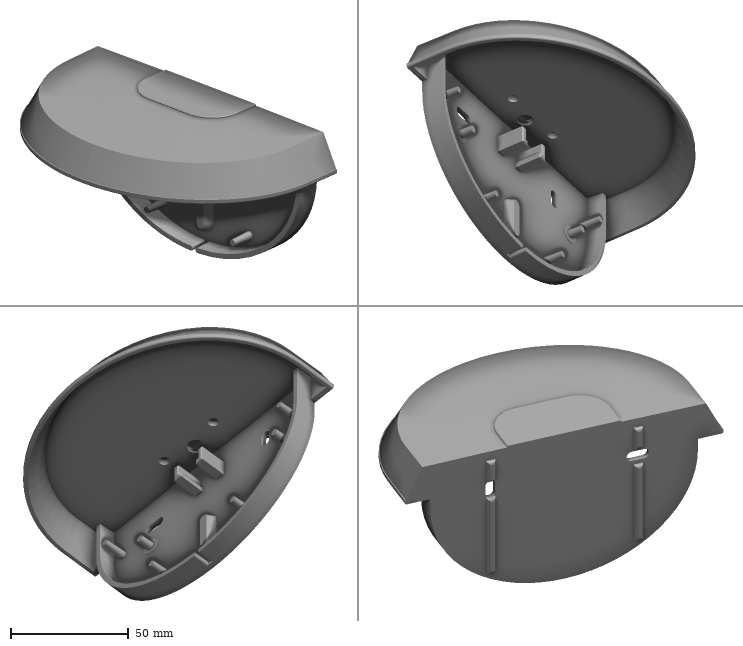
import cadquery as cq
import math


LIP_HALF_WIDTH = 73.4
LIP_DEPTH = 81.08
LIP_HEIGHT = 2.1
LIP_STEP = 0.5
LIP_RADIUS = 0.8
STRAIGHT_SIDE = 18.8
WALL_INSET = 7.5
HOOD_HEIGHT = 17.1
ROOF_DROP = 1.7
HOOD_THICKNESS = 2.0
FACET_HALF_ANGLE = 20.0
FRONT_ANGLE = 270
MIDDLE_SPLIT = [FRONT_ANGLE]
FACET_SPLITS = [FRONT_ANGLE - FACET_HALF_ANGLE, FRONT_ANGLE + FACET_HALF_ANGLE]

RING_Z = 17.4
RING_HALF_WIDTH = 29.6
RING_DEPTH = 29.4
RING_CORNER = 19.5
PLATEAU_Z = 18.15
PLATEAU_HALF_WIDTH = 26.3
PLATEAU_DEPTH = 26.4
PLATEAU_CORNER = 14.5
PLATEAU_CHAMFER = 0.3

HOLE_SKIN = 0.3
SIDE_HOLE_RADIUS = 2.3
SIDE_HOLE_X = 15.0
SIDE_HOLE_Y = -15.0
MIDDLE_HOLE_RADIUS = 3.7
MIDDLE_HOLE_Y = -11.0

PLATE_HALF_WIDTH = 61.65
PLATE_OVAL_Z = -5.5
PLATE_BOTTOM = -55.6
PLATE_TOP = HOOD_HEIGHT - HOOD_THICKNESS / 2
PLATE_DEPTH = 10.4
FLOOR = 2.5
RIM_THICKNESS = 2.3
RIM_DRAFT = 3.0
RIM_GAP = 2.0
RIM_END_RADIUS = 0.9

PIN_RADIUS = 1.9
PIN_DRAFT = 2.5
PIN_TIP = 13.2
UPPER_PIN = (53.4, -4.8)
LOWER_PIN = (24.9, -42.8)
POST_TIP = 9.0
POST_XS = (-36.4, 46.0)
POST_Z = -13.2
PAD_RADIUS = 4.2
PAD_HEIGHT = 0.3

RIDGE_LENGTH = 22.8
RIDGE_WIDTH = 7.8
RIDGE_Z = -36.5
RIDGE_HEIGHT = 4.0
RIDGE_TAPER_INSET = 1.9

HOOK_OUTER_X = 8.6
HOOK_STEM = 2.6
HOOK_FOOT = 4.0
HOOK_FOOT_HEIGHT = 2.4
HOOK_BOTTOM = -4.2
HOOK_TOP = 4.0
HOOK_TIP = 15.8
HOOK_CHAMFER = 0.6

SLOT_LINE_X = 34.0
SLOT_WIDTH = 4.6
LEVEL_SLOT_LENGTH = 10.4
LEVEL_SLOT_BOTTOM = -3.6
UPRIGHT_SLOT_BOTTOM = -6.2
UPRIGHT_SLOT_TOP = 2.4
BAR_WIDTH = 4.1
BAR_HEIGHT = 1.9
BAR_EDGE_RADIUS = 1.8
UPPER_BAR = (2.4, 13.0)
LOWER_BAR = (-44.0, -5.6)


def half_oval(plane, half_width, depth, splits, back=0.0):
    """Wire with a straight back, straight sides and an elliptical front, split at the given angles."""
    oval_depth = depth - STRAIGHT_SIDE
    centre = cq.Vector(0, -STRAIGHT_SIDE, 0)
    up = cq.Vector(0, 0, 1)
    right = cq.Vector(1, 0, 0)
    corners = [
        cq.Vector(half_width, -STRAIGHT_SIDE, 0),
        cq.Vector(half_width, -back, 0),
        cq.Vector(-half_width, -back, 0),
        cq.Vector(-half_width, -STRAIGHT_SIDE, 0),
    ]
    angles = [180, *splits, 360]
    edges = [
        cq.Edge.makeEllipse(half_width, oval_depth, centre, up, right, start, end)
        for start, end in zip(angles, angles[1:])
    ]
    edges += [cq.Edge.makeLine(start, end) for start, end in zip(corners, corners[1:])]
    return cq.Wire.assembleEdges(edges).moved(cq.Location(plane))


def level(z):
    """Horizontal plane at height z."""
    return cq.Plane(origin=(0, 0, z), xDir=(1, 0, 0), normal=(0, 0, 1))


def roof_plane(z):
    """Plane that falls towards the front by ROOF_DROP over the depth of the roof."""
    fall = ROOF_DROP / (LIP_DEPTH - WALL_INSET)
    return cq.Plane(origin=(0, 0, z), xDir=(1, 0, 0), normal=(0, -fall, 1))


def rounded_tab(half_width, depth, corner):
    """Outline against the back plane with its two front corners rounded."""
    mid = corner * (1 - math.sqrt(0.5))
    return (
        cq.Workplane("XY")
        .moveTo(-half_width, 0)
        .lineTo(-half_width, corner - depth)
        .threePointArc((mid - half_width, mid - depth), (corner - half_width, -depth))
        .lineTo(half_width - corner, -depth)
        .threePointArc((half_width - mid, mid - depth), (half_width, corner - depth))
        .lineTo(half_width, 0)
        .close()
    )


def from_back(y):
    """Workplane at y, facing the front, with local axes along X and Z."""
    return cq.Workplane("XZ", origin=(0, y, 0))


def make_lip():
    """Lip round the lower rim of the hood, rounded underneath."""
    outline = half_oval(level(0), LIP_HALF_WIDTH, LIP_DEPTH, MIDDLE_SPLIT)
    lip = cq.Workplane(cq.Solid.extrudeLinear(outline, [], cq.Vector(0, 0, LIP_HEIGHT)))
    return lip.faces("<Z").edges("not >Y").fillet(LIP_RADIUS)


def make_flared_body(bottom_z, roof_z, inset, back):
    """Solid between the flared wall and the roof plane, with the wall moved in by inset."""
    half_width = LIP_HALF_WIDTH - LIP_STEP - inset
    depth = LIP_DEPTH - LIP_STEP - inset
    bottom = half_oval(level(bottom_z), half_width, depth, MIDDLE_SPLIT, back)
    roof = half_oval(roof_plane(roof_z), half_width - WALL_INSET, depth - WALL_INSET, MIDDLE_SPLIT, back)
    return cq.Workplane(cq.Solid.makeLoft([bottom, roof], True))


def make_roof_cap():
    """Faceted cap that rises from the edge of the roof to the ring."""
    half_width = LIP_HALF_WIDTH - LIP_STEP - WALL_INSET
    depth = LIP_DEPTH - LIP_STEP - WALL_INSET
    edge = half_oval(roof_plane(HOOD_HEIGHT), half_width, depth, FACET_SPLITS)
    ring = rounded_tab(RING_HALF_WIDTH, RING_DEPTH, RING_CORNER).wire().val()
    return cq.Workplane(cq.Solid.makeLoft([edge, ring.moved(cq.Location(level(RING_Z)))], True))


def make_plateau():
    """Raised panel in the middle of the roof, with a chamfered upper edge."""
    base_z = HOOD_HEIGHT - HOOD_THICKNESS
    outline = rounded_tab(PLATEAU_HALF_WIDTH, PLATEAU_DEPTH, PLATEAU_CORNER)
    plateau = outline.extrude(PLATEAU_Z - base_z).translate((0, 0, base_z))
    return plateau.faces(">Z").edges("not >Y").chamfer(PLATEAU_CHAMFER)


def plateau_holes():
    """Blind holes that open into the hood."""
    floor_z = HOOD_HEIGHT / 2
    depth = PLATEAU_Z - HOLE_SKIN - floor_z
    plane = cq.Workplane(level(floor_z))
    sides = [(-SIDE_HOLE_X, SIDE_HOLE_Y), (SIDE_HOLE_X, SIDE_HOLE_Y)]
    holes = plane.pushPoints(sides).circle(SIDE_HOLE_RADIUS).extrude(depth)
    return holes.union(plane.center(0, MIDDLE_HOLE_Y).circle(MIDDLE_HOLE_RADIUS).extrude(depth))


def make_hood():
    """Hollow hood, open underneath."""
    body = make_flared_body(LIP_HEIGHT, HOOD_HEIGHT, 0, 0)
    cavity = make_flared_body(0, HOOD_HEIGHT - HOOD_THICKNESS, HOOD_THICKNESS - LIP_STEP, FLOOR)
    hood = make_lip().union(body).union(make_roof_cap()).union(make_plateau())
    return hood.cut(cavity).cut(plateau_holes())


def plate_outline(inset, y):
    """Outline of the back plate at y, moved in by inset at the sides and bottom."""
    half_width = PLATE_HALF_WIDTH - inset
    return (
        from_back(y)
        .moveTo(-half_width, PLATE_TOP)
        .lineTo(-half_width, PLATE_OVAL_Z)
        .ellipseArc(half_width, PLATE_OVAL_Z - PLATE_BOTTOM - inset, 180, 360, startAtCurrent=True)
        .lineTo(half_width, PLATE_TOP)
        .close()
    )


def make_tray():
    """Floor with a drafted rim that is interrupted at the bottom by a gap with rounded ends."""
    blank = plate_outline(0, 0).extrude(PLATE_DEPTH)
    pocket = plate_outline(RIM_THICKNESS, -PLATE_DEPTH).extrude(FLOOR - PLATE_DEPTH, taper=RIM_DRAFT)
    gap_height = 2 * RIM_THICKNESS
    gap = from_back(-FLOOR).center(0, PLATE_BOTTOM).rect(RIM_GAP, 2 * gap_height).extrude(PLATE_DEPTH)
    half_way = -(FLOOR + PLATE_DEPTH) / 2
    rim_end_edges = cq.selectors.BoxSelector(
        (-RIM_GAP, half_way - RIM_THICKNESS, PLATE_BOTTOM - RIM_THICKNESS),
        (RIM_GAP, half_way + RIM_THICKNESS, PLATE_BOTTOM + gap_height),
    )
    return blank.cut(pocket).cut(gap).edges(rim_end_edges).fillet(RIM_END_RADIUS)


def make_pin(place, tip):
    """Pin with draft, from the floor of the tray to a distance tip from the back plane."""
    return from_back(-FLOOR).center(*place).circle(PIN_RADIUS).extrude(tip - FLOOR, taper=PIN_DRAFT)


def make_pins():
    """Two mirrored pairs of pins, and two shorter posts on low round pads."""
    pins = cq.Workplane()
    places = [(side * x, z) for x, z in (UPPER_PIN, LOWER_PIN) for side in (-1, 1)]
    for place in places:
        pins = pins.union(make_pin(place, PIN_TIP))
    for x in POST_XS:
        pad = from_back(-FLOOR).center(x, POST_Z).circle(PAD_RADIUS).extrude(PAD_HEIGHT)
        pins = pins.union(pad).union(make_pin((x, POST_Z), POST_TIP))
    return pins


def make_ridge():
    """Upright ridge with rounded ends and tapered sides."""
    taper = math.degrees(math.atan(RIDGE_TAPER_INSET / RIDGE_HEIGHT))
    outline = from_back(-FLOOR).center(0, RIDGE_Z).slot2D(RIDGE_LENGTH, RIDGE_WIDTH, 90)
    return outline.extrude(RIDGE_HEIGHT, taper=taper)


def make_hooks():
    """Mirrored pair of L-shaped hooks with chamfered tips."""
    right = (
        from_back(-FLOOR)
        .moveTo(HOOK_OUTER_X, HOOK_TOP)
        .lineTo(HOOK_OUTER_X, HOOK_BOTTOM)
        .lineTo(HOOK_OUTER_X - HOOK_FOOT, HOOK_BOTTOM)
        .lineTo(HOOK_OUTER_X - HOOK_FOOT, HOOK_BOTTOM + HOOK_FOOT_HEIGHT)
        .lineTo(HOOK_OUTER_X - HOOK_STEM, HOOK_BOTTOM + HOOK_FOOT_HEIGHT)
        .lineTo(HOOK_OUTER_X - HOOK_STEM, HOOK_TOP)
        .close()
        .extrude(HOOK_TIP - FLOOR)
        .faces("<Y")
        .chamfer(HOOK_CHAMFER)
    )
    return right.union(right.mirror("YZ"))


def make_slots():
    """Cutters for a level slot on one side and an upright slot on the other."""
    level_z = LEVEL_SLOT_BOTTOM + SLOT_WIDTH / 2
    upright_z = (UPRIGHT_SLOT_BOTTOM + UPRIGHT_SLOT_TOP) / 2
    upright_length = UPRIGHT_SLOT_TOP - UPRIGHT_SLOT_BOTTOM
    cutter = from_back(BAR_HEIGHT)
    depth = BAR_HEIGHT + FLOOR
    level_slot = cutter.center(-SLOT_LINE_X, level_z).slot2D(LEVEL_SLOT_LENGTH, SLOT_WIDTH).extrude(depth)
    upright = cutter.center(SLOT_LINE_X, upright_z).slot2D(upright_length, SLOT_WIDTH, 90).extrude(depth)
    return level_slot.union(upright)


def make_bars():
    """Rounded bars that stand out from the back plane above and below each slot."""
    bars = cq.Workplane()
    for x in (-SLOT_LINE_X, SLOT_LINE_X):
        for bottom, top in (LOWER_BAR, UPPER_BAR):
            outline = from_back(0).center(x, (bottom + top) / 2).rect(BAR_WIDTH, top - bottom)
            bars = bars.union(outline.extrude(-BAR_HEIGHT).faces(">Y").edges().fillet(BAR_EDGE_RADIUS))
    return bars


plate = make_tray().union(make_pins()).union(make_ridge()).union(make_hooks())
result = make_hood().union(plate).union(make_bars()).cut(make_slots())